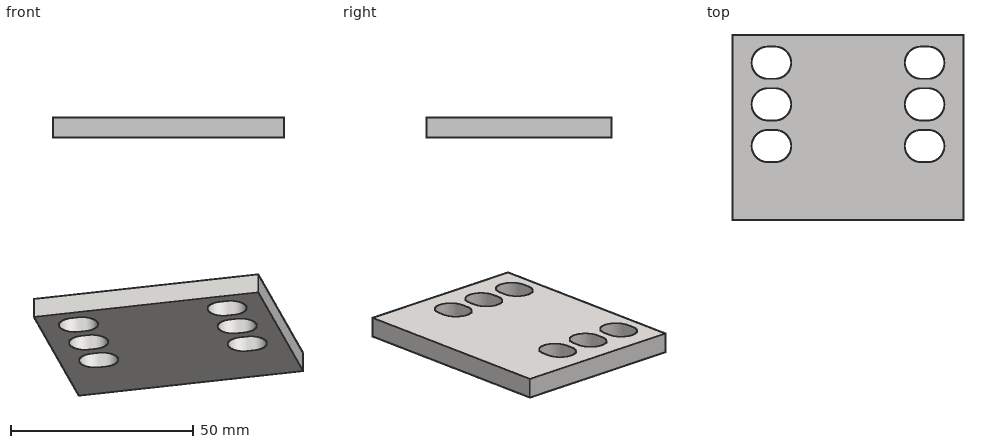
import cadquery as cq

plate_length = 63.5
plate_width = 50.8
plate_thickness = 5.5

slot_length = 10.8
slot_width = 8.75
column_spacing = 42.05
slot_pitch = 11.4
slots_per_column = 3
top_slot_to_edge = 7.6

top_slot_y = plate_width / 2 - top_slot_to_edge
slot_centers = [
    (side * column_spacing / 2, top_slot_y - row * slot_pitch)
    for side in (-1, 1)
    for row in range(slots_per_column)
]

plate = cq.Workplane("XY").box(plate_length, plate_width, plate_thickness)

result = (
    plate.faces(">Z")
    .workplane()
    .pushPoints(slot_centers)
    .slot2D(slot_length, slot_width)
    .cutThruAll()
)